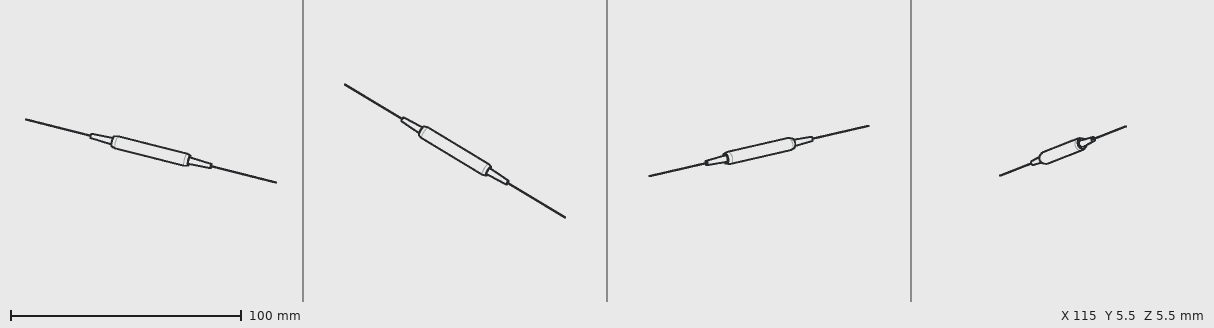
import cadquery as cq

overall_length = 115.0
lead_diameter = 0.25

body_diameter = 5.5
body_length = 35.0
shoulder_length = 1.7
end_face_diameter = 4.6

sleeve_length = 10.0
sleeve_base_diameter = 3.0
sleeve_tip_diameter = 2.0

half_body = body_length / 2
cylinder_end = half_body - shoulder_length
sleeve_tip = half_body + sleeve_length
lead_end = overall_length / 2

half_profile = [
    (lead_end, lead_diameter),
    (sleeve_tip, lead_diameter),
    (sleeve_tip, sleeve_tip_diameter),
    (half_body, sleeve_base_diameter),
    (half_body, end_face_diameter),
    (cylinder_end, body_diameter),
]

right_side = [(x, diameter / 2) for x, diameter in half_profile]
left_side = [(-x, radius) for x, radius in reversed(right_side)]

outline = (
    cq.Workplane("XZ")
    .moveTo(lead_end, 0)
    .polyline(right_side + left_side, includeCurrent=True)
    .lineTo(-lead_end, 0)
    .close()
)
result = outline.revolve(360, (0, 0, 0), (1, 0, 0))